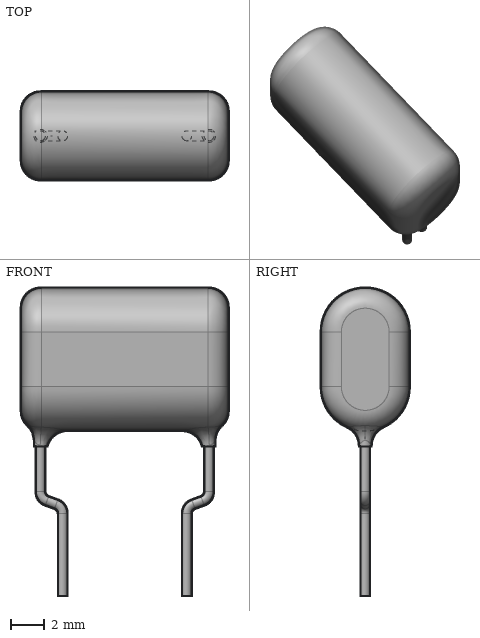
import cadquery as cq
import math

body_length = 12.6
body_depth = 5.4
body_height = 8.7
body_top = 18.7
end_round = 1.25
body_bottom = body_top - body_height
body_center_z = body_top - body_height / 2

collar_diameter = 0.79
collar_bottom = 9.07
collar_flare_radius = 1.2
collar_stock_bottom = body_bottom - 2 * collar_flare_radius

lead_diameter = 0.6
upper_lead_x = 5.1
lower_lead_x = 3.75
lower_bend_z = 5.01
bend_radius = lead_diameter
bend_angle = math.radians(70)

bend_shift = bend_radius * (1 - math.cos(bend_angle))
bend_drop = bend_radius * math.sin(bend_angle)
slope_shift = upper_lead_x - lower_lead_x - 2 * bend_shift
slope_drop = slope_shift / math.tan(bend_angle)
upper_bend_z = lower_bend_z + 2 * bend_drop + slope_drop


def make_body():
    """Rounded coating with one flared collar above each lead."""
    coating = (
        cq.Workplane("YZ")
        .center(0, body_center_z)
        .slot2D(body_height, body_depth, 90)
        .extrude(body_length / 2, both=True)
        .faces("<X or >X")
        .edges()
        .fillet(end_round)
    )
    collars = (
        cq.Workplane("XY", origin=(0, 0, collar_stock_bottom))
        .pushPoints([(-upper_lead_x, 0), (upper_lead_x, 0)])
        .circle(collar_diameter / 2)
        .extrude(body_center_z - collar_stock_bottom)
    )
    body = coating.union(collars)

    half_width = collar_diameter
    for side in (-1, 1):
        joint_zone = cq.selectors.BoxSelector(
            (side * upper_lead_x - half_width, -half_width, body_bottom - half_width),
            (side * upper_lead_x + half_width, half_width, body_bottom + half_width),
            boundingbox=True,
        )
        body = body.edges(joint_zone).edges("not |Z").fillet(collar_flare_radius)

    trim = (
        cq.Workplane("XY", origin=(0, 0, collar_stock_bottom))
        .rect(body_length, body_depth)
        .extrude(collar_bottom - collar_stock_bottom)
    )
    return body.cut(trim).solids()


def bend_points(start_x, start_z, direction):
    """Middle and end of a bend that starts vertical; direction 1 goes up and out, -1 down and in."""
    points = []
    for angle in (bend_angle / 2, bend_angle):
        x = start_x + direction * bend_radius * (1 - math.cos(angle))
        z = start_z + direction * bend_radius * math.sin(angle)
        points.append((x, z))
    return points


def make_lead(side):
    """Wire on one side (-1 or 1), swept from its free end up to the collar rim."""
    lower_middle, slope_start = bend_points(lower_lead_x, lower_bend_z, 1)
    upper_middle, slope_end = bend_points(upper_lead_x, upper_bend_z, -1)

    def on_side(point):
        """Move a point given for the +X lead onto this lead's side."""
        x, z = point
        return side * x, z

    path = (
        cq.Workplane("XZ")
        .moveTo(side * lower_lead_x, 0)
        .lineTo(side * lower_lead_x, lower_bend_z)
        .threePointArc(on_side(lower_middle), on_side(slope_start))
        .lineTo(*on_side(slope_end))
        .threePointArc(on_side(upper_middle), (side * upper_lead_x, upper_bend_z))
        .lineTo(side * upper_lead_x, collar_bottom)
    )
    return (
        cq.Workplane("XY")
        .center(side * lower_lead_x, 0)
        .circle(lead_diameter / 2)
        .sweep(path)
    )


body = make_body()
leads = [make_lead(side) for side in (-1, 1)]

result = cq.Compound.makeCompound([body.val(), *[lead.val() for lead in leads]])